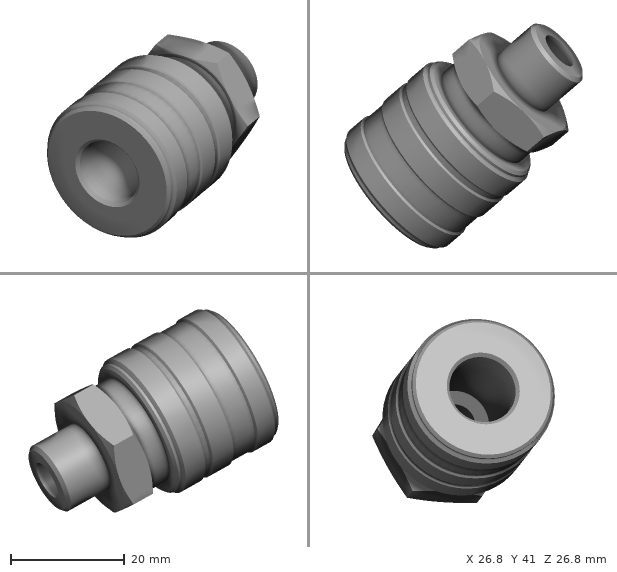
import cadquery as cq
import math

total_length = 41.0
sleeve_length = 22.05
hex_start = 25.95
hex_end = 32.02

band_radius = 13.4
groove_radius = 13.05
lip_radius = 12.8
end_face_radius = 12.25
collar_radius = 10.4
spigot_radius = 6.6

lip_chamfer_length = 0.55
lip_end = 1.02
end_bevel = 0.57

groove_bevel = 0.35
wide_groove = (5.5, 10.0)
narrow_groove = (15.0, 16.0)

across_flats = 22.0
hex_chamfer_angle = 30.0

spigot_chamfer = 0.65
socket_radius = 6.03
socket_chamfer = 0.6
socket_depth = 20.5
bore_radius = 3.5


def revolve_profile(points):
    """Revolve a closed (radius, Y) outline about the Y axis."""
    return cq.Workplane("XY").polyline(points).close().revolve(360, (0, 0), (0, 1))


def groove_points(groove):
    """Outline of one bevelled groove, from the front band to the rear band."""
    start, end = groove
    return [
        (band_radius, start - groove_bevel),
        (groove_radius, start),
        (groove_radius, end),
        (band_radius, end + groove_bevel),
    ]


def make_sleeve():
    front_end = [
        (end_face_radius, 0),
        (lip_radius, lip_chamfer_length),
        (lip_radius, lip_end),
        (band_radius, lip_end + end_bevel),
    ]
    rear_end = [(radius, sleeve_length - y) for radius, y in reversed(front_end)]
    grooves = groove_points(wide_groove) + groove_points(narrow_groove)
    return revolve_profile([(0, 0)] + front_end + grooves + rear_end + [(0, sleeve_length)])


def make_hexagon():
    """Hexagon with corners on +X and -X, its corners chamfered on both faces."""
    flat_radius = across_flats / 2
    corner_radius = flat_radius / math.cos(math.radians(30))
    chamfer_length = (corner_radius - flat_radius) * math.tan(math.radians(hex_chamfer_angle))
    prism = (
        cq.Workplane("XZ", origin=(0, hex_start, 0))
        .polygon(6, 2 * corner_radius)
        .extrude(hex_start - hex_end)
    )
    corner_envelope = revolve_profile([
        (0, hex_start),
        (flat_radius, hex_start),
        (corner_radius, hex_start + chamfer_length),
        (corner_radius, hex_end - chamfer_length),
        (flat_radius, hex_end),
        (0, hex_end),
    ])
    return prism.intersect(corner_envelope)


def make_collar_and_spigot():
    return revolve_profile([
        (0, 0),
        (collar_radius, 0),
        (collar_radius, hex_start),
        (spigot_radius, hex_start),
        (spigot_radius, total_length - spigot_chamfer),
        (spigot_radius - spigot_chamfer, total_length),
        (0, total_length),
    ])


def make_bore():
    """Chamfered socket followed by a narrower bore through the spigot."""
    return revolve_profile([
        (0, 0),
        (socket_radius + socket_chamfer, 0),
        (socket_radius, socket_chamfer),
        (socket_radius, socket_depth),
        (bore_radius, socket_depth),
        (bore_radius, total_length),
        (0, total_length),
    ])


result = make_sleeve().union(make_collar_and_spigot()).union(make_hexagon()).cut(make_bore())